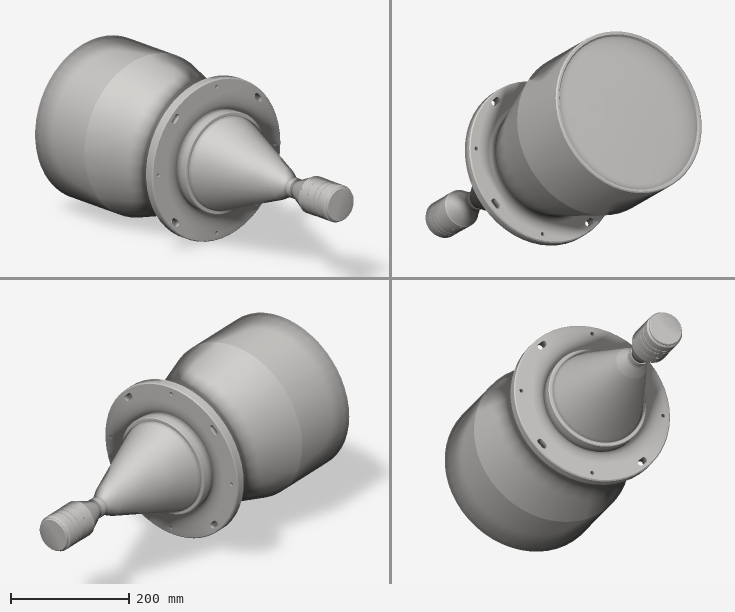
import cadquery as cq
import math

length = 630.0
front = -length / 2
rear = front + length

barrel_radius = 143.0
barrel_length = 130.5
barrel_chamfer = 2.0
bezel_radius = 137.5
glass_radius = 135.0
glass_depth = 4.0
glass_bulge = glass_depth

taper_end = front + 278.5
taper_end_radius = 99.5
blend_start = front + 281.0
flange_front = front + 288.5
blend_radius = flange_front - blend_start
flange_radius = barrel_radius
flange_thickness = 18.0
flange_rear = flange_front + flange_thickness
flange_chamfer = 2.0

collar_radius = 89.5
collar_rear = front + 331.0
collar_chamfer = 1.0

cone_front_radius = 82.5
cone_break = front + 479.5
cone_break_radius = 28.5
neck_front = front + 504.0
neck_rear = front + 519.5
neck_radius = 16.0
band_radius = 17.5
band_front = front + 507.5
band_rear = front + 517.5

body_front = front + 556.5
body_radius = 33.0
body_cone_radius = 31.5
body_front_taper = 2.0
body_step = front + 578.0
body_step_drop = 0.3
body_rear_radius = body_radius - body_step_drop
body_rear = front + 626.0
body_rear_chamfer = 2.5
mount_radius = 29.5
mount_chamfer = 1.0

body_grooves = [
    (front + 595.0, 3.0, 0.5),
    (front + 607.0, 1.0, 0.5),
]

bolt_circle_radius = 130.0
bolt_slot_width = 10.0
bolt_slot_length = 19.5
pin_hole_diameter = 7.0
holes_per_set = 4

screw_rows = [
    (front + 561.0, 30.0),
    (front + 580.0, 37.0),
]
screw_diameter = 2.5
screw_depth = 3.0
screws_per_row = 3


def turned_body():
    """Revolve the half section (X along the axis, Y as radius) about X."""
    glass_rim = front + glass_depth
    glass_apex = glass_rim - glass_bulge
    blend_45 = blend_radius * math.sqrt(0.5)
    profile = (
        cq.Workplane("XY")
        .moveTo(glass_rim, glass_radius)
        .lineTo(front, bezel_radius)
        .lineTo(front, barrel_radius - barrel_chamfer)
        .lineTo(front + barrel_chamfer, barrel_radius)
        .lineTo(front + barrel_length, barrel_radius)
        .lineTo(taper_end, taper_end_radius)
        .lineTo(blend_start, taper_end_radius)
        .threePointArc(
            (blend_start + blend_45, taper_end_radius + blend_radius - blend_45),
            (flange_front, taper_end_radius + blend_radius),
        )
        .lineTo(flange_front, flange_radius - flange_chamfer)
        .lineTo(flange_front + flange_chamfer, flange_radius)
        .lineTo(flange_rear - flange_chamfer, flange_radius)
        .lineTo(flange_rear, flange_radius - flange_chamfer)
        .lineTo(flange_rear, collar_radius)
        .lineTo(collar_rear - collar_chamfer, collar_radius)
        .lineTo(collar_rear, collar_radius - collar_chamfer)
        .lineTo(collar_rear, cone_front_radius)
        .lineTo(cone_break, cone_break_radius)
        .lineTo(neck_front, neck_radius)
        .lineTo(band_front, neck_radius)
        .lineTo(band_front, band_radius)
        .lineTo(band_rear, band_radius)
        .lineTo(band_rear, neck_radius)
        .lineTo(neck_rear, neck_radius)
        .lineTo(body_front, body_cone_radius)
        .lineTo(body_front + body_front_taper, body_radius)
        .lineTo(body_step, body_radius)
        .lineTo(body_step, body_rear_radius)
        .lineTo(body_rear - body_rear_chamfer, body_rear_radius)
        .lineTo(body_rear, body_rear_radius - body_rear_chamfer)
        .lineTo(body_rear, mount_radius)
        .lineTo(rear - mount_chamfer, mount_radius)
        .lineTo(rear, mount_radius - mount_chamfer)
        .lineTo(rear, 0)
        .lineTo(glass_apex, 0)
    )
    sphere_radius = (glass_radius**2 + glass_bulge**2) / (2 * glass_bulge)
    half_height = glass_radius / 2
    half_sag = sphere_radius - math.sqrt(sphere_radius**2 - half_height**2)
    profile = profile.threePointArc(
        (glass_apex + half_sag, half_height),
        (glass_rim, glass_radius),
    ).close()
    return profile.revolve(360, (0, 0, 0), (1, 0, 0))


def ring_groove(groove_front, width, depth):
    """Ring that cuts a groove into the camera-side body."""
    return (
        cq.Workplane("YZ", origin=(groove_front, 0, 0))
        .circle(body_radius)
        .circle(body_rear_radius - depth)
        .extrude(width)
    )


def flange_pattern(first_angle):
    """Evenly spaced places on the bolt circle, each with its own X pointing outward."""
    return cq.Workplane("YZ", origin=(flange_front, 0, 0)).polarArray(
        bolt_circle_radius, first_angle, 360, holes_per_set
    )


def bolt_slots():
    """Through slots for the flange bolts, long across the radius, midway between the pin holes."""
    return (
        flange_pattern(180 / holes_per_set)
        .slot2D(bolt_slot_length, bolt_slot_width, 90)
        .extrude(flange_thickness)
    )


def pin_holes():
    """Round through holes on the Y and Z axes of the flange."""
    return flange_pattern(0).circle(pin_hole_diameter / 2).extrude(flange_thickness)


def screw_hole(x, angle):
    """Blind radial hole in the body; angle runs from +Y toward +Z."""
    outward = cq.Vector(0, math.cos(math.radians(angle)), math.sin(math.radians(angle)))
    floor = cq.Vector(x, 0, 0) + outward * (body_radius - screw_depth)
    return cq.Solid.makeCylinder(screw_diameter / 2, 2 * screw_depth, floor, outward)


result = turned_body()
for groove in body_grooves:
    result = result.cut(ring_groove(*groove))

result = result.cut(bolt_slots())
result = result.cut(pin_holes())

for screw_x, first_angle in screw_rows:
    for index in range(screws_per_row):
        screw_angle = first_angle + index * 360 / screws_per_row
        result = result.cut(cq.Workplane(screw_hole(screw_x, screw_angle)))